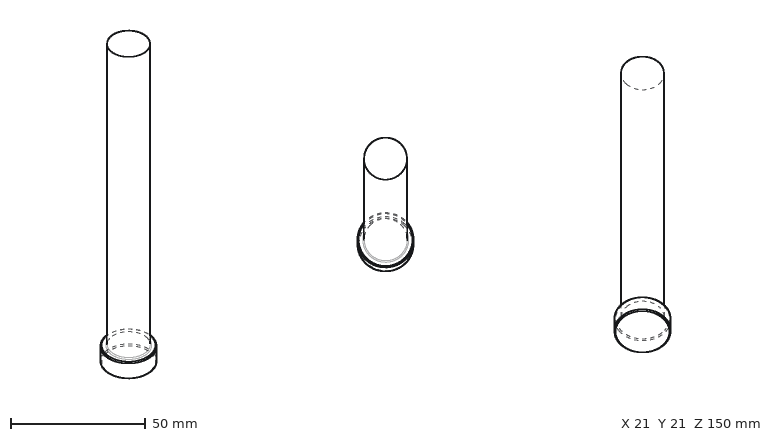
import cadquery as cq

total_length = 150.0
shank_diameter = 16.0
head_diameter = 21.0
head_height = 8.0
head_edge_chamfer = 0.5
neck_fillet = 0.5

shank_radius = shank_diameter / 2
head_radius = head_diameter / 2

half_profile = (
    cq.Workplane("XZ")
    .lineTo(head_radius - head_edge_chamfer, 0)
    .lineTo(head_radius, head_edge_chamfer)
    .lineTo(head_radius, head_height - head_edge_chamfer)
    .lineTo(head_radius - head_edge_chamfer, head_height)
    .lineTo(shank_radius + neck_fillet, head_height)
    .radiusArc((shank_radius, head_height + neck_fillet), neck_fillet)
    .lineTo(shank_radius, total_length)
    .lineTo(0, total_length)
    .close()
)

result = half_profile.revolve(360, (0, 0, 0), (0, 1, 0))